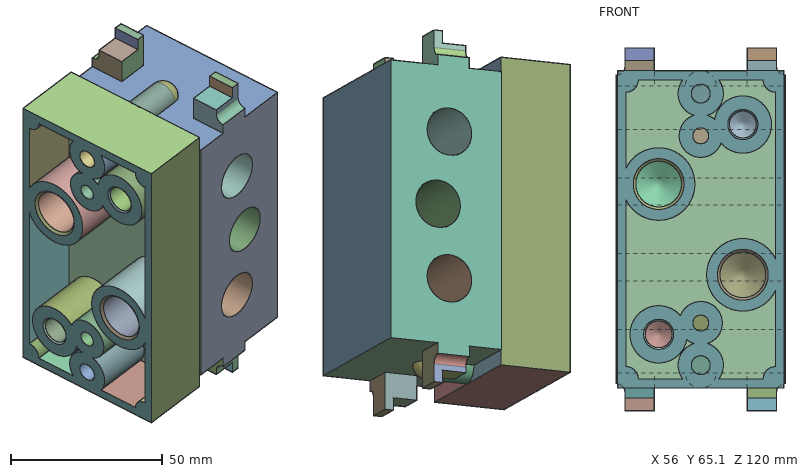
import cadquery as cq
import math

body_width = 56.0
body_height = 94.8
body_depth = 40.0

plate_width = 55.0
plate_height = 105.0
plate_depth = 25.1

cavity_width = 49.5
cavity_height = 98.9
cavity_depth = 20.5
corner_post_radius = 4.1

port_diameter = 16.1
outer_port_spacing = 50.0
outer_port_y = 18.8
middle_port_y = 22.9

main_boss_x, main_boss_z = -13.9, 15.0
main_boss_diameter = 24.0
main_bore_diameter = 15.1
main_mouth_diameter = 16.8
main_bore_depth = 21.6

pilot_boss_x, pilot_boss_z = 13.9, 34.7
pilot_boss_diameter = 19.0
pilot_bore_diameter = 8.9
pilot_mouth_diameter = 10.0
pilot_bore_depth = 18.0

screw_boss_z = 44.9
screw_boss_diameter = 15.0
screw_hole_diameter = 6.2

pin_boss_z = 31.0
pin_boss_diameter = 14.3
pin_hole_diameter = 5.3
blind_hole_depth = 18.0

drill_point_angle = 118.0

dome_diameter = plate_height - body_height
dome_length = 19.5

overall_height = 120.0
clip_inner_x = 15.4
clip_outer_x = 25.1
clip_y = 11.6
clip_depth = 11.4
clip_lip_thickness = 3.0
clip_step_z = 55.8
clip_foot_z = 51.0


def box(width, depth, height, y_start):
    """Block centred on X and Z that runs from y_start towards +Y."""
    return cq.Workplane("XY").box(width, depth, height).translate((0, y_start + depth / 2, 0))


def rod(x, z, diameter, y_start, length):
    """Cylinder along +Y."""
    return cq.Workplane(cq.Solid.makeCylinder(
        diameter / 2, length, cq.Vector(x, y_start, z), cq.Vector(0, 1, 0)))


def half_turn(shape):
    """The shape together with its copy turned half way round the Y axis."""
    return shape.union(shape.rotate((0, 0, 0), (0, 1, 0), 180))


def drilled_bore(x, z, diameter, mouth_diameter, depth):
    """Bore from the front face with a 45 degree mouth chamfer and a drill point."""
    radius = diameter / 2
    mouth_radius = mouth_diameter / 2
    point_length = radius / math.tan(math.radians(drill_point_angle / 2))
    profile = (
        cq.Workplane("XY")
        .polyline([
            (0, 0),
            (mouth_radius, 0),
            (radius, mouth_radius - radius),
            (radius, depth),
            (0, depth + point_length),
        ])
        .close()
    )
    return profile.revolve(360, (0, 0), (0, 1)).translate((x, -plate_depth, z))


def cavity():
    """Plate cavity, less the quarter-round posts in its corners."""
    posts = (
        cq.Workplane("XZ", origin=(0, -plate_depth, 0))
        .rect(cavity_width, cavity_height, forConstruction=True)
        .vertices()
        .circle(corner_post_radius)
        .extrude(-cavity_depth)
    )
    return box(cavity_width, cavity_depth, cavity_height, -plate_depth).cut(posts)


def bosses():
    """Bosses that stand from the cavity floor to the front face."""
    group = rod(main_boss_x, main_boss_z, main_boss_diameter, -plate_depth, plate_depth)
    for x, z, diameter in (
        (pilot_boss_x, pilot_boss_z, pilot_boss_diameter),
        (0, screw_boss_z, screw_boss_diameter),
        (0, pin_boss_z, pin_boss_diameter),
    ):
        group = group.union(rod(x, z, diameter, -plate_depth, plate_depth))
    return half_turn(group)


def boss_holes():
    """Blind holes in the bosses."""
    holes = drilled_bore(main_boss_x, main_boss_z, main_bore_diameter, main_mouth_diameter, main_bore_depth)
    holes = holes.union(drilled_bore(
        pilot_boss_x, pilot_boss_z, pilot_bore_diameter, pilot_mouth_diameter, pilot_bore_depth))
    for z, diameter in ((screw_boss_z, screw_hole_diameter), (pin_boss_z, pin_hole_diameter)):
        holes = holes.union(rod(0, z, diameter, -plate_depth, blind_hole_depth))
    return half_turn(holes)


def domed_pins():
    """Round-ended pins, half sunk into the top and bottom of the body."""
    radius = dome_diameter / 2
    shaft_length = dome_length - radius
    z = body_height / 2
    shaft = rod(0, z, dome_diameter, 0, shaft_length)
    tip = cq.Workplane("XY").sphere(radius).translate((0, shaft_length, z))
    return half_turn(shaft.union(tip))


def clip():
    """Clip at the +X top corner: a wide foot, a concave shoulder and a thin upper lip."""
    foot_x = body_width / 2
    root_z = body_height / 2
    shoulder_radius = foot_x - clip_outer_x
    arc_drop = shoulder_radius * math.sqrt(0.5)
    shoulder_z = clip_foot_z + shoulder_radius
    block = (
        cq.Workplane("XZ", origin=(0, clip_y, 0))
        .moveTo(clip_inner_x, root_z)
        .lineTo(foot_x, root_z)
        .lineTo(foot_x, clip_foot_z)
        .threePointArc((foot_x - arc_drop, shoulder_z - arc_drop), (clip_outer_x, shoulder_z))
        .lineTo(clip_outer_x, overall_height / 2)
        .lineTo(clip_inner_x, overall_height / 2)
        .close()
        .extrude(-clip_depth)
    )
    step = cq.Workplane("XY").box(
        body_width, clip_depth - clip_lip_thickness, overall_height, centered=(True, False, False)
    ).translate((0, clip_y, clip_step_z))
    return block.cut(step)


def side_ports():
    """Three round passages through the body along X."""
    return (
        cq.Workplane("YZ", origin=(-body_width / 2, 0, 0))
        .pushPoints([
            (outer_port_y, outer_port_spacing / 2),
            (middle_port_y, 0),
            (outer_port_y, -outer_port_spacing / 2),
        ])
        .circle(port_diameter / 2)
        .extrude(body_width)
    )


plate = box(plate_width, plate_depth, plate_height, -plate_depth).cut(cavity()).union(bosses())
body = box(body_width, body_depth, body_height, 0).union(domed_pins())

top_right_clip = clip()
top_clips = top_right_clip.union(top_right_clip.mirror("YZ"))
clips = top_clips.union(top_clips.mirror("XY"))

result = body.union(plate).union(clips).cut(boss_holes()).cut(side_ports())